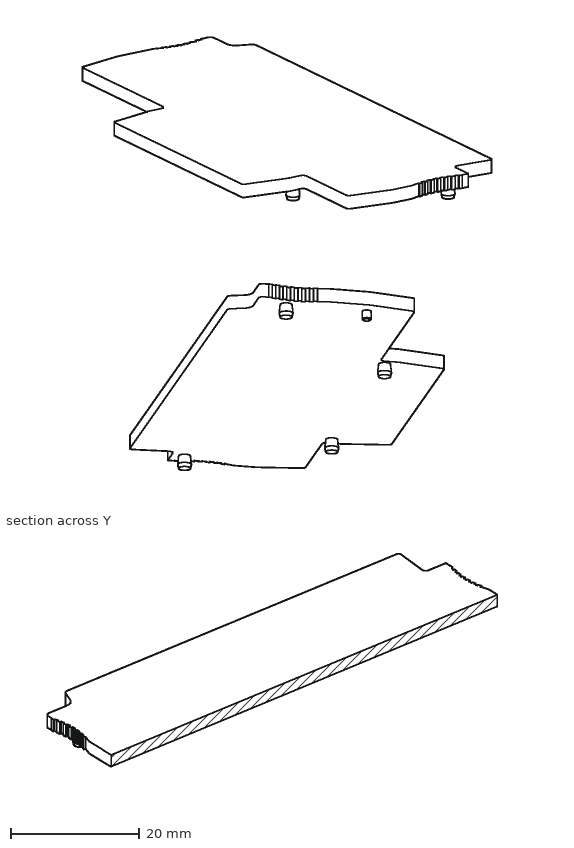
import cadquery as cq
import math

LENGTH = 78.0
WIDTH = 39.3
TOTAL_HEIGHT = 4.2
PLATE_THICKNESS = 2.2
PIN_LENGTH = TOTAL_HEIGHT - PLATE_THICKNESS

SIDE_X = LENGTH / 2
TOP_Y = WIDTH / 2
BOTTOM_Y = -WIDTH / 2
BODY_BOTTOM_Y = -9.05

LEAN = math.tan(math.radians(10))
BODY_LEAN_START_Y = -1.55
TONGUE_LEAN_START_Y = -12.0
BODY_BOTTOM_X = SIDE_X - (BODY_LEAN_START_Y - BODY_BOTTOM_Y) * LEAN
TONGUE_LEFT_X = -14.0
TONGUE_RIGHT_X = 25.35
TONGUE_INSET = (TONGUE_LEAN_START_Y - BOTTOM_Y) * LEAN

LEFT_SHELF_Y = 16.15
LEFT_NOTCH_TOP_X = -32.2
LEFT_NOTCH_BOTTOM_X = LEFT_NOTCH_TOP_X - (TOP_Y - LEFT_SHELF_Y) * math.tan(math.radians(20))
RIGHT_SHELF_Y = 12.6
RIGHT_NOTCH_TOP_X = 35.3
RIGHT_NOTCH_BOTTOM_X = RIGHT_NOTCH_TOP_X - (TOP_Y - RIGHT_SHELF_Y) * math.tan(math.radians(5))

SMALL_CORNER_RADIUS = 0.5
INNER_CORNER_RADIUS = 0.7
NOTCH_TOP_RADIUS = 0.8
LEFT_NOTCH_RADIUS = 1.6
BODY_LEAN_RADIUS = 2.7
TONGUE_LEAN_RADIUS = 1.55
GRIP_END_RADIUS = 1.55

GRIP_RADIUS = 13.65
GRIP_DEPTH = 0.85
GRIP_HALF_SPAN = math.sqrt(GRIP_RADIUS**2 - (GRIP_RADIUS - GRIP_DEPTH) ** 2)
LEFT_GRIP_Y = 10.1
RIGHT_GRIP_Y = 6.9
RIB_COUNT = 7
RIB_PITCH = 1.22
RIB_WIDTH = 0.585
RIB_RISE = 0.2
RIB_TIP_RISE = 0.3
TOP_RIB_OFFSET = 4.05

SNAP_PIN_CENTERS = [(-36.1, 11.2), (36.4, 10.5), (-12.5, -10.1), (23.7, -10.1)]
SHAFT_DIAMETER = 1.9
BARB_DIAMETER = 2.2
BARB_DEPTH = 1.4
LOCATING_PIN_CENTER = (-35.95, -1.7)
LOCATING_PIN_DIAMETER = 1.4
LOCATING_PIN_LENGTH = 1.4
LOCATING_PIN_CHAMFER = 0.15


def grip_points(side, center_y):
    """Points of one ribbed side, from top to bottom; side is -1 (left) or 1 (right)."""

    def point(offset, rise):
        arc_depth = GRIP_DEPTH - GRIP_RADIUS + math.sqrt(GRIP_RADIUS**2 - offset**2)
        reach = min(SIDE_X, SIDE_X - arc_depth + rise)
        return (side * reach, center_y + offset)

    points = []
    for index in range(RIB_COUNT):
        rib_end = TOP_RIB_OFFSET - index * RIB_PITCH
        rib_start = rib_end + RIB_WIDTH
        points.append(point(rib_start, 0))
        points.append(point(rib_start, RIB_RISE))
        points.append(point(rib_end, RIB_TIP_RISE))
        points.append(point(rib_end, 0))
    points.append(point(-GRIP_HALF_SPAN, 0))
    return points


def make_plate():
    left_side = [(-SIDE_X, LEFT_SHELF_Y)] + grip_points(-1, LEFT_GRIP_Y)
    right_side = [(SIDE_X, RIGHT_SHELF_Y)] + grip_points(1, RIGHT_GRIP_Y)
    lower_edge = [
        (-SIDE_X, BODY_LEAN_START_Y),
        (-BODY_BOTTOM_X, BODY_BOTTOM_Y),
        (TONGUE_LEFT_X, BODY_BOTTOM_Y),
        (TONGUE_LEFT_X, TONGUE_LEAN_START_Y),
        (TONGUE_LEFT_X + TONGUE_INSET, BOTTOM_Y),
        (TONGUE_RIGHT_X - TONGUE_INSET, BOTTOM_Y),
        (TONGUE_RIGHT_X, TONGUE_LEAN_START_Y),
        (TONGUE_RIGHT_X, BODY_BOTTOM_Y),
        (BODY_BOTTOM_X, BODY_BOTTOM_Y),
        (SIDE_X, BODY_LEAN_START_Y),
    ]
    upper_edge = [
        (RIGHT_NOTCH_BOTTOM_X, RIGHT_SHELF_Y),
        (RIGHT_NOTCH_TOP_X, TOP_Y),
        (LEFT_NOTCH_TOP_X, TOP_Y),
        (LEFT_NOTCH_BOTTOM_X, LEFT_SHELF_Y),
    ]
    outline = left_side + lower_edge + right_side[::-1] + upper_edge
    plate = cq.Workplane("XY").polyline(outline).close().extrude(-PLATE_THICKNESS)

    rounded_corners = [
        ((-SIDE_X, LEFT_SHELF_Y), INNER_CORNER_RADIUS),
        ((-BODY_BOTTOM_X, BODY_BOTTOM_Y), SMALL_CORNER_RADIUS),
        ((-SIDE_X, LEFT_GRIP_Y - GRIP_HALF_SPAN), GRIP_END_RADIUS),
        ((-SIDE_X, BODY_LEAN_START_Y), BODY_LEAN_RADIUS),
        ((SIDE_X, RIGHT_GRIP_Y - GRIP_HALF_SPAN), GRIP_END_RADIUS),
        ((SIDE_X, BODY_LEAN_START_Y), BODY_LEAN_RADIUS),
        ((TONGUE_LEFT_X, TONGUE_LEAN_START_Y), TONGUE_LEAN_RADIUS),
        ((TONGUE_RIGHT_X, TONGUE_LEAN_START_Y), TONGUE_LEAN_RADIUS),
        ((TONGUE_LEFT_X, BODY_BOTTOM_Y), INNER_CORNER_RADIUS),
        ((TONGUE_LEFT_X + TONGUE_INSET, BOTTOM_Y), SMALL_CORNER_RADIUS),
        ((TONGUE_RIGHT_X - TONGUE_INSET, BOTTOM_Y), SMALL_CORNER_RADIUS),
        ((TONGUE_RIGHT_X, BODY_BOTTOM_Y), INNER_CORNER_RADIUS),
        ((BODY_BOTTOM_X, BODY_BOTTOM_Y), SMALL_CORNER_RADIUS),
        ((RIGHT_NOTCH_BOTTOM_X, RIGHT_SHELF_Y), INNER_CORNER_RADIUS),
        ((RIGHT_NOTCH_TOP_X, TOP_Y), SMALL_CORNER_RADIUS),
        ((LEFT_NOTCH_TOP_X, TOP_Y), NOTCH_TOP_RADIUS),
        ((LEFT_NOTCH_BOTTOM_X, LEFT_SHELF_Y), LEFT_NOTCH_RADIUS),
    ]
    for (x, y), radius in rounded_corners:
        corner = cq.selectors.NearestToPointSelector((x, y, -PLATE_THICKNESS / 2))
        plate = plate.edges("|Z").edges(corner).fillet(radius)
    return plate


def make_snap_pin(center):
    """Round shaft that flares evenly to a barb and tapers again at its tip."""
    x, y = center
    shaft_radius = SHAFT_DIAMETER / 2
    barb_radius = BARB_DIAMETER / 2
    pin = (
        cq.Workplane("XZ")
        .lineTo(shaft_radius, 0)
        .lineTo(barb_radius, -BARB_DEPTH)
        .lineTo(shaft_radius, -PIN_LENGTH)
        .lineTo(0, -PIN_LENGTH)
        .close()
        .revolve(360, (0, 0), (0, 1))
    )
    return pin.translate((x, y, -PLATE_THICKNESS))


def make_locating_pin():
    x, y = LOCATING_PIN_CENTER
    pin = cq.Workplane("XY").circle(LOCATING_PIN_DIAMETER / 2).extrude(-LOCATING_PIN_LENGTH)
    pin = pin.faces("<Z").chamfer(LOCATING_PIN_CHAMFER)
    return pin.translate((x, y, -PLATE_THICKNESS))


result = make_plate()
for snap_pin_center in SNAP_PIN_CENTERS:
    result = result.union(make_snap_pin(snap_pin_center))
result = result.union(make_locating_pin())